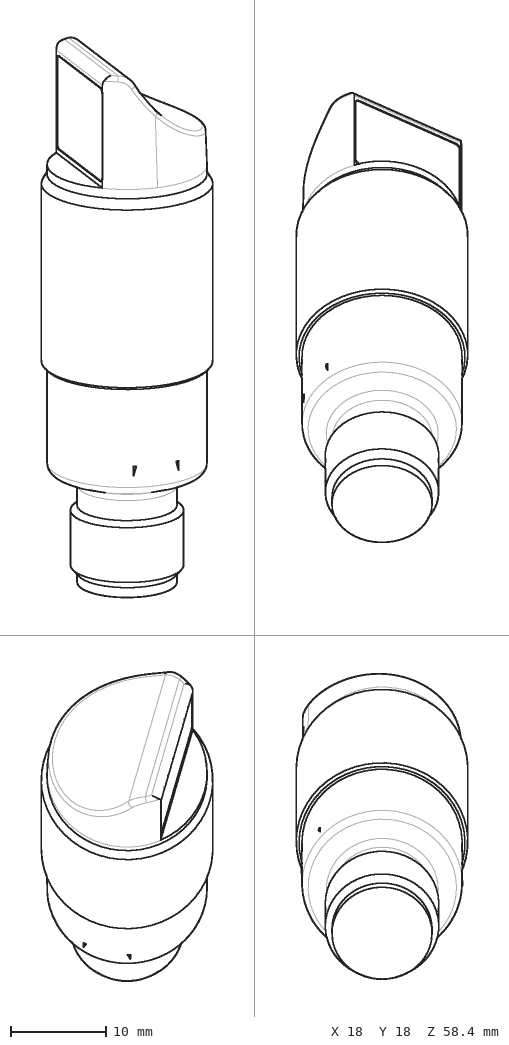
import cadquery as cq
import math

total_height = 58.44

plug_radius = 5.95
core_radius = 5.25
core_tip_height = 1.1
plug_lead_top = 1.9
plug_top = 7.95
plug_shoulder_top = 8.5

barrel_radius = 8.4
cone_bottom = 11.4
cone_angle = math.radians(20)
cone_top = cone_bottom + (barrel_radius - core_radius) * math.tan(cone_angle)
cone_round = 0.95

sleeve_radius = 9.0
sleeve_bottom = 24.1
sleeve_bottom_chamfer = 0.3
sleeve_top = 45.05
sleeve_bevel_height = 1.05

ledge_height = 46.1
head_top_back_y = 7.9
wall_front_y = -5.4
wall_front_round = 1.0
wall_flat_length = 0.35
scoop_back_height = 50.1
scoop_middle_y = 1.5
scoop_middle_height = 53.1
scoop_end_y = -2.15
scoop_end_height = 57.4
rim_round = 0.5

tip_bottom = 14.5
tip_top = 15.5
tip_inner_y = 2.25
tip_outer_y = 2.55
tip_reach = 8.12

window_width = 12.6
window_bottom = 46.65
window_top = 56.95
window_corner_radius = 0.5
window_depth = 0.1


def turned_body():
    """Plug, neck, cone, barrel and sleeve up to the ledge as one revolved solid."""
    body = (
        cq.Workplane("XZ")
        .lineTo(core_radius, 0)
        .lineTo(core_radius, core_tip_height)
        .lineTo(plug_radius, plug_lead_top)
        .lineTo(plug_radius, plug_top)
        .lineTo(core_radius, plug_shoulder_top)
        .lineTo(core_radius, cone_bottom)
        .lineTo(barrel_radius, cone_top)
        .lineTo(barrel_radius, sleeve_bottom)
        .lineTo(sleeve_radius - sleeve_bottom_chamfer, sleeve_bottom)
        .lineTo(sleeve_radius, sleeve_bottom + sleeve_bottom_chamfer)
        .lineTo(sleeve_radius, sleeve_top - sleeve_bevel_height)
        .lineTo(barrel_radius, sleeve_top)
        .lineTo(barrel_radius, ledge_height)
        .lineTo(0, ledge_height)
        .close()
        .revolve(360, (0, 0, 0), (0, 1, 0))
    )
    cone_zone = cq.selectors.BoxSelector(
        (-sleeve_radius, -sleeve_radius, cone_bottom - cone_round / 2),
        (sleeve_radius, sleeve_radius, cone_top + cone_round / 2),
        boundingbox=True,
    )
    return body.edges(cone_zone).edges("%CIRCLE").fillet(cone_round)


def head_stub():
    """Stub whose circle shrinks toward the top while keeping the wall's front edges upright."""
    top_center_y = (head_top_back_y**2 - barrel_radius**2) / (
        2 * (head_top_back_y - wall_front_y)
    )
    return (
        cq.Workplane("XY", origin=(0, 0, ledge_height))
        .circle(barrel_radius)
        .workplane(offset=total_height - ledge_height)
        .center(0, top_center_y)
        .circle(head_top_back_y - top_center_y)
        .loft(ruled=True)
    )


def head_profile():
    """Side profile of the wall and scoop, extruded across the whole width."""
    flat_back_y = wall_front_y + wall_front_round + wall_flat_length
    return (
        cq.Workplane("YZ")
        .moveTo(wall_front_y, ledge_height)
        .lineTo(sleeve_radius, ledge_height)
        .lineTo(sleeve_radius, scoop_back_height)
        .lineTo(barrel_radius, scoop_back_height)
        .threePointArc(
            (scoop_middle_y, scoop_middle_height),
            (scoop_end_y, scoop_end_height),
        )
        .tangentArcPoint((flat_back_y, total_height), relative=False)
        .lineTo(wall_front_y, total_height)
        .close()
        .extrude(sleeve_radius, both=True)
    )


def wall_front_trim():
    """Bar removed along the top front of the wall to leave a straight round."""
    return (
        cq.Workplane("YZ")
        .moveTo(wall_front_y, total_height - wall_front_round)
        .radiusArc((wall_front_y + wall_front_round, total_height), wall_front_round)
        .lineTo(wall_front_y, total_height)
        .close()
        .extrude(sleeve_radius, both=True)
    )


def head():
    """Stub trimmed to the wall and scoop, with rounded rim and front edge."""
    rim_zone = cq.selectors.BoxSelector(
        (-sleeve_radius, -sleeve_radius, ledge_height + rim_round),
        (sleeve_radius, sleeve_radius, total_height + rim_round),
        boundingbox=True,
    )
    trimmed = head_stub().intersect(head_profile())
    rounded = trimmed.edges(rim_zone).edges("not %LINE").fillet(rim_round)
    return rounded.cut(wall_front_trim())


def window_recess():
    """Shallow rounded recess that frames the flat face of the wall."""
    return (
        cq.Workplane("XZ", origin=(0, wall_front_y + window_depth, 0))
        .center(0, (window_bottom + window_top) / 2)
        .rect(window_width, window_top - window_bottom)
        .extrude(window_depth)
        .edges("|Y")
        .fillet(window_corner_radius)
    )


def catch_tips():
    """Four tiny wedges that break the barrel surface, narrowing downward."""
    tips = cq.Workplane("YZ")
    for side in (-1, 1):
        tips = tips.polyline(
            [
                (side * tip_outer_y, tip_bottom),
                (side * tip_outer_y, tip_top),
                (side * tip_inner_y, tip_top),
            ]
        ).close()
    return tips.extrude(tip_reach, both=True)


result = turned_body().union(head()).cut(window_recess()).union(catch_tips())